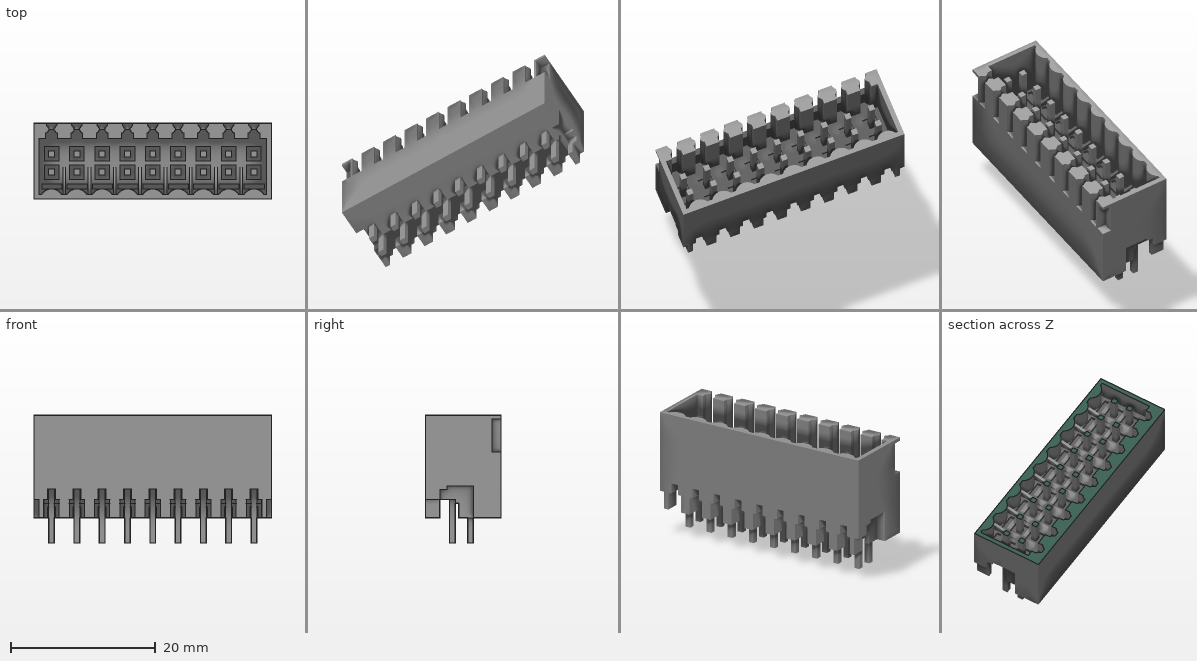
import cadquery as cq


POSITIONS = 9
PITCH = 3.5
PIN_SIZE = 0.81
FRONT_ROW_Y = 3.75
ROW_SPACING = 2.5
REAR_ROW_Y = FRONT_ROW_Y + ROW_SPACING
PIN_TOP = 11.95
PIN_BOTTOM = -3.5

LENGTH = 32.9
WIDTH = 10.5
HEIGHT = 14.2
END_WALL = 0.7
FRONT_WALL = 0.65
REAR_WALL = 2.15
FLOOR_Z = 6.0

BUMP_CHORD = 2.75
BUMP_RISE = 0.75

RECESS_DEPTH = 0.5
PIN_RECESS_SIZE = 2.02
FRONT_RECESS_Y = 3.7
REAR_RECESS_Y = 6.25
CODING_RECESS_LENGTH = 2.8
CODING_RECESS_WIDTH = 0.7
CODING_RECESS_SHIFT = 0.06

RIB_WIDTH = 0.39
RIB_REACH = 3.7
RIB_HEIGHT = 1.0

GAP_WIDTH = 1.62
GAP_SHOULDER_WIDTH = 1.36
GAP_THROAT = 0.74
GAP_MOUTH = 1.44
MOUTH_STRAIGHT_DEPTH = 0.25
THROAT_START_DEPTH = 0.75
SHELF_DEPTH = 0.85
THROAT_END_DEPTH = 0.95
SHOULDER_DEPTH = 1.36
GAP_SHELF_Z = 9.1

END_NOTCH_DEPTH = 1.4
END_NOTCH_WIDTH = 1.3
END_NOTCH_BOTTOM = GAP_SHELF_Z
END_NOTCH_TOP = 13.7

FOOT_WIDTH = 2.0
CHANNEL_HEIGHT = 2.5
CHANNEL_STEP_HEIGHT = 2.0
CHANNEL_STEP_Y = FRONT_ROW_Y + PIN_SIZE / 2
CHANNEL_BACK_Y = 4.6

FOOT_SLOT_WIDTH = 2.1
PIN_SLOT_WIDTH = 1.1
FRONT_PIN_SLOT_HEIGHT = 4.0
REAR_PIN_SLOT_HEIGHT = 1.5

END_POCKET_DEPTH = 1.3
END_POCKET_HEIGHT = 4.4
END_POCKET_STEP_Y = 3.0
END_POCKET_STEP_HEIGHT = 3.9
END_POCKET_BACK_Y = REAR_ROW_Y + PIN_SIZE / 2
FOOT_SETBACK = 0.7

HALF_LENGTH = LENGTH / 2
HALF_PITCH = PITCH / 2
CAVITY_REAR_Y = WIDTH - REAR_WALL
PIN_XS = [(i - (POSITIONS - 1) / 2) * PITCH for i in range(POSITIONS)]


def block(x0, x1, y0, y1, z0, z1):
    """Box between two opposite corners."""
    return cq.Workplane("XY").box(x1 - x0, y1 - y0, z1 - z0, centered=False).translate((x0, y0, z0))


def centred_block(width, y0, y1, z0, z1):
    """Box centred on X = 0."""
    return block(-width / 2, width / 2, y0, y1, z0, z1)


def both_ends(cutter):
    """A cutter at the -X end together with its mirror image at the +X end."""
    return cutter.union(cutter.mirror("YZ"))


def cavity():
    inner = HALF_LENGTH - END_WALL
    return block(-inner, inner, FRONT_WALL, CAVITY_REAR_Y, FLOOR_Z, HEIGHT)


def front_bump():
    half = BUMP_CHORD / 2
    return (
        cq.Workplane("XY", origin=(0, FRONT_WALL, FLOOR_Z))
        .moveTo(-half, 0)
        .threePointArc((0, BUMP_RISE), (half, 0))
        .close()
        .extrude(HEIGHT - FLOOR_Z)
    )


def prism_along_z(half_outline, bottom):
    """Prism up to the housing top from the +X half of an outline symmetric about X = 0."""
    other_half = [(-x, y) for x, y in reversed(half_outline)]
    return (
        cq.Workplane("XY", origin=(0, 0, bottom))
        .polyline(half_outline + other_half)
        .close()
        .extrude(HEIGHT - bottom)
    )


def rear_gap():
    """Keyhole gap: wide inside, narrow at the throat, flared outside above a shelf."""
    shelf_y = WIDTH - SHELF_DEPTH
    inside = prism_along_z([
        (GAP_WIDTH / 2, CAVITY_REAR_Y),
        (GAP_WIDTH / 2, WIDTH - SHOULDER_DEPTH),
        (GAP_SHOULDER_WIDTH / 2, WIDTH - SHOULDER_DEPTH),
        (GAP_THROAT / 2, WIDTH - THROAT_END_DEPTH),
        (GAP_THROAT / 2, shelf_y),
    ], FLOOR_Z)
    mouth = prism_along_z([
        (GAP_THROAT / 2, shelf_y),
        (GAP_THROAT / 2, WIDTH - THROAT_START_DEPTH),
        (GAP_MOUTH / 2, WIDTH - MOUTH_STRAIGHT_DEPTH),
        (GAP_MOUTH / 2, WIDTH),
    ], GAP_SHELF_Z)
    return inside.union(mouth)


def floor_recesses():
    bottom = FLOOR_Z - RECESS_DEPTH
    half = PIN_RECESS_SIZE / 2
    coding_y = FRONT_WALL + BUMP_RISE
    recesses = centred_block(
        CODING_RECESS_LENGTH, coding_y, coding_y + CODING_RECESS_WIDTH, bottom, FLOOR_Z
    ).translate((CODING_RECESS_SHIFT, 0, 0))
    for y in (FRONT_RECESS_Y, REAR_RECESS_Y):
        recesses = recesses.union(centred_block(PIN_RECESS_SIZE, y - half, y + half, bottom, FLOOR_Z))
    return recesses


def floor_rib():
    return (
        cq.Workplane("YZ", origin=(-RIB_WIDTH / 2, FRONT_WALL, FLOOR_Z))
        .polyline([(0, 0), (RIB_REACH, 0), (0, RIB_HEIGHT)])
        .close()
        .extrude(RIB_WIDTH)
    )


def end_notch():
    return block(
        -HALF_LENGTH, END_NOTCH_DEPTH - HALF_LENGTH,
        WIDTH - END_NOTCH_WIDTH, WIDTH,
        END_NOTCH_BOTTOM, END_NOTCH_TOP,
    )


def foot_channel():
    low = block(-HALF_LENGTH, HALF_LENGTH, FOOT_WIDTH, CHANNEL_BACK_Y, 0, CHANNEL_STEP_HEIGHT)
    high = block(-HALF_LENGTH, HALF_LENGTH, FOOT_WIDTH, CHANNEL_STEP_Y, 0, CHANNEL_HEIGHT)
    return low.union(high)


def underside_slots():
    foot_slot = centred_block(FOOT_SLOT_WIDTH, 0, FOOT_WIDTH, 0, CHANNEL_HEIGHT)
    front_slot = centred_block(PIN_SLOT_WIDTH, 0, CHANNEL_STEP_Y, 0, FRONT_PIN_SLOT_HEIGHT)
    rear_slot = centred_block(PIN_SLOT_WIDTH, CHANNEL_BACK_Y, END_POCKET_BACK_Y, 0, REAR_PIN_SLOT_HEIGHT)
    return foot_slot.union(front_slot).union(rear_slot)


def end_pocket():
    """Stepped pocket in the -X end face, with the front foot set back beside it."""
    pocket = (
        cq.Workplane("YZ", origin=(-HALF_LENGTH, 0, 0))
        .polyline([
            (FOOT_WIDTH, 0),
            (END_POCKET_BACK_Y, 0),
            (END_POCKET_BACK_Y, END_POCKET_HEIGHT),
            (END_POCKET_STEP_Y, END_POCKET_HEIGHT),
            (END_POCKET_STEP_Y, END_POCKET_STEP_HEIGHT),
            (FOOT_WIDTH, END_POCKET_STEP_HEIGHT),
        ])
        .close()
        .extrude(END_POCKET_DEPTH)
    )
    setback = block(-HALF_LENGTH, FOOT_SETBACK - HALF_LENGTH, 0, FOOT_WIDTH, 0, CHANNEL_HEIGHT)
    return pocket.union(setback)


def pin(y):
    half = PIN_SIZE / 2
    return centred_block(PIN_SIZE, y - half, y + half, PIN_BOTTOM, PIN_TOP)


def repeated(feature, places):
    """Copies of a feature at the given X places, as one shape."""
    copies = [feature.val().translate(cq.Vector(x, 0, 0)) for x in places]
    return cq.Workplane(cq.Compound.makeCompound(copies))


RIB_XS = [x + HALF_PITCH for x in PIN_XS[:-1]]

result = block(-HALF_LENGTH, HALF_LENGTH, 0, WIDTH, 0, HEIGHT)

for cutter in (cavity(), foot_channel(), both_ends(end_notch()), both_ends(end_pocket())):
    result = result.cut(cutter)

for cutter in (rear_gap(), floor_recesses(), underside_slots()):
    result = result.cut(repeated(cutter, PIN_XS))

result = result.union(repeated(front_bump(), PIN_XS))
result = result.union(repeated(floor_rib(), RIB_XS))

for row_y in (FRONT_ROW_Y, REAR_ROW_Y):
    result = result.union(repeated(pin(row_y), PIN_XS))